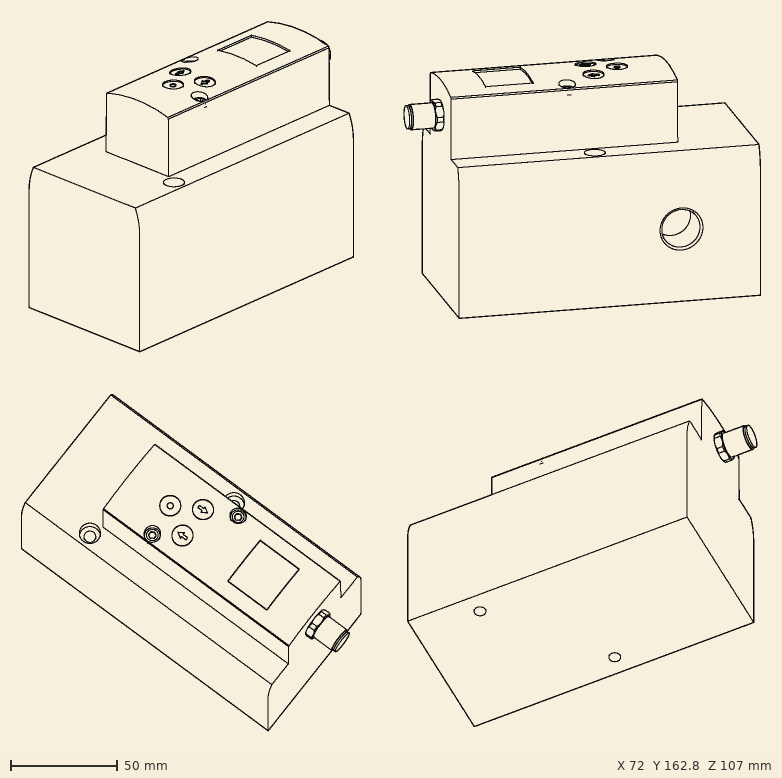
import cadquery as cq
import math

BODY_WIDTH = 72.0
BODY_LENGTH = 146.4
BODY_HEIGHT = 73.7
SHOULDER_DIAMETER = 64.0
SHOULDER_DROP = 13.2

HEAD_WIDTH = 40.7
HEAD_TOP_WIDTH = 40.2
HEAD_FRONT_Y = 36.3
HEAD_TOP_Z = 107.0
HEAD_EDGE_Z = 103.5
HEAD_BEVEL_WIDTH = 0.3
HEAD_BEVEL_HEIGHT = 0.8

WINDOW_WIDTH = 25.0
WINDOW_FRONT_Y = 104.5
WINDOW_LENGTH = 23.1
WINDOW_DEPTH = 1.0

BUTTON_DIAMETER = 10.0
BUTTON_DEPTH = 0.7
ARROW_BUTTON_X = 8.0
ARROW_BUTTON_Y = 74.0
ROUND_BUTTON_Y = 60.7
BUTTON_DOT_DIAMETER = 3.0
BUTTON_MARK_HEIGHT = 0.3
ARROW_WIDTH = 3.3
ARROW_LENGTH = 5.2
ARROW_STEM_WIDTH = 1.3

SCREWS = [(-15.8, 88.9), (15.8, 62.2)]
SCREW_HOLE_DIAMETER = 7.8
SCREW_HOLE_FLOOR_Z = 101
SCREW_HEAD_DIAMETER = 7.5
SCREW_HEAD_TOP_DIAMETER = 5.5
SCREW_HEAD_HEIGHT = 2.5
SCREW_SOCKET_FLATS = 6
SCREW_SOCKET_SIZE = 3.6
SCREW_SOCKET_DEPTH = 1.3

MOUNTING_HOLES = [(-26.5, 78.1), (26.5, 33.4)]
MOUNTING_DIAMETER = 5.5
COUNTERBORE_DIAMETER = 10.0
COUNTERBORE_DEPTH = 6.0

PORT_Y = 38.5
PORT_Z = 35.8
PORT_DIAMETER = 18.5
PORT_MOUTH_DIAMETER = 20.8
PORT_MOUTH_ANGLE = 45
PORT_DEPTH = 19.5

PLUG_Z = 89.5
NUT_FLATS = 6
NUT_ACROSS_FLATS = 14.0
NUT_CORNER_DIAMETER = 15.0
NUT_CHAMFER = 0.5
NUT_END_Y = 150.3
BARREL_DIAMETER = 12.0
BARREL_END_Y = 161.0
NECK_DIAMETER = 10.7
COLLAR_DIAMETER = 11.0
COLLAR_START_Y = 161.8
COLLAR_END_Y = 162.8


def rod_along_y(diameter, start_y, end_y):
    """Cylinder on the plug axis."""
    rod = cq.Workplane("XZ", origin=(0, start_y, PLUG_Z)).circle(diameter / 2)
    return rod.extrude(start_y - end_y)


def rod_along_z(diameter, centre, start_z, end_z):
    return (
        cq.Workplane("XY", origin=(*centre, start_z))
        .circle(diameter / 2)
        .extrude(end_z - start_z)
    )


def make_body():
    half_width = BODY_WIDTH / 2
    radius = SHOULDER_DIAMETER / 2
    arc_start_z = BODY_HEIGHT - SHOULDER_DROP
    arc_centre_x = half_width - radius
    sweep = math.asin(SHOULDER_DROP / radius)

    def shoulder_point(angle):
        return (
            arc_centre_x + radius * math.cos(angle),
            arc_start_z + radius * math.sin(angle),
        )

    top_x = shoulder_point(sweep)[0]
    mid_x, mid_z = shoulder_point(sweep / 2)
    return (
        cq.Workplane("XZ")
        .moveTo(-half_width, 0)
        .lineTo(half_width, 0)
        .lineTo(half_width, arc_start_z)
        .threePointArc((mid_x, mid_z), (top_x, BODY_HEIGHT))
        .lineTo(-top_x, BODY_HEIGHT)
        .threePointArc((-mid_x, mid_z), (-half_width, arc_start_z))
        .close()
        .extrude(-BODY_LENGTH)
    )


def make_head(lowered=0):
    """Crowned head with drafted sides and bevelled crown edges; `lowered` sinks the whole crown."""
    base = HEAD_WIDTH / 2
    side = HEAD_TOP_WIDTH / 2
    side_z = HEAD_EDGE_Z - lowered
    crown = side - HEAD_BEVEL_WIDTH
    crown_z = side_z + HEAD_BEVEL_HEIGHT
    return (
        cq.Workplane("XZ", origin=(0, HEAD_FRONT_Y, 0))
        .moveTo(-base, BODY_HEIGHT)
        .lineTo(base, BODY_HEIGHT)
        .lineTo(side, side_z)
        .lineTo(crown, crown_z)
        .threePointArc((0, HEAD_TOP_Z - lowered), (-crown, crown_z))
        .lineTo(-side, side_z)
        .close()
        .extrude(HEAD_FRONT_Y - BODY_LENGTH)
    )


def make_window():
    block = (
        cq.Workplane("XY")
        .box(WINDOW_WIDTH, WINDOW_LENGTH, HEAD_TOP_Z - BODY_HEIGHT, centered=(True, False, False))
        .translate((0, WINDOW_FRONT_Y, BODY_HEIGHT))
    )
    return block.cut(make_head(WINDOW_DEPTH))


def make_button_recess(centre):
    column = rod_along_z(BUTTON_DIAMETER, centre, BODY_HEIGHT, HEAD_TOP_Z)
    return column.cut(make_head(BUTTON_DEPTH))


def make_button_mark(column):
    """Raised mark: the part of a column standing on a button floor."""
    return column.intersect(make_head(BUTTON_DEPTH - BUTTON_MARK_HEIGHT))


def make_arrow(centre, direction):
    """Arrow column pointing along +Y (direction 1) or -Y (direction -1)."""
    tip = ARROW_LENGTH / 2
    neck = 0
    outline = [
        (0, tip),
        (ARROW_WIDTH / 2, neck),
        (ARROW_STEM_WIDTH / 2, neck),
        (ARROW_STEM_WIDTH / 2, -tip),
        (-ARROW_STEM_WIDTH / 2, -tip),
        (-ARROW_STEM_WIDTH / 2, neck),
        (-ARROW_WIDTH / 2, neck),
    ]
    return (
        cq.Workplane("XY", origin=(*centre, BODY_HEIGHT))
        .polyline([(x, direction * y) for x, y in outline])
        .close()
        .extrude(HEAD_TOP_Z - BODY_HEIGHT)
    )


def make_screw(centre):
    top_z = SCREW_HOLE_FLOOR_Z + SCREW_HEAD_HEIGHT
    bevel = (SCREW_HEAD_DIAMETER - SCREW_HEAD_TOP_DIAMETER) / 2
    head = rod_along_z(SCREW_HEAD_DIAMETER, centre, SCREW_HOLE_FLOOR_Z, top_z).faces(">Z").chamfer(bevel)
    socket = (
        cq.Workplane("XY", origin=(*centre, top_z))
        .polygon(SCREW_SOCKET_FLATS, SCREW_SOCKET_SIZE)
        .extrude(-SCREW_SOCKET_DEPTH)
    )
    return head.cut(socket)


def make_port():
    mouth_step = (PORT_MOUTH_DIAMETER - PORT_DIAMETER) / 2
    mouth_depth = mouth_step / math.tan(math.radians(PORT_MOUTH_ANGLE))
    face = cq.Workplane("YZ", origin=(-BODY_WIDTH / 2, PORT_Y, PORT_Z))
    bore = face.circle(PORT_DIAMETER / 2).extrude(PORT_DEPTH)
    mouth = face.circle(PORT_MOUTH_DIAMETER / 2).extrude(mouth_depth, taper=PORT_MOUTH_ANGLE)
    return bore.union(mouth)


def make_plug():
    """Hexagon nut with one flat facing up, then barrel, neck and end collar."""
    length = NUT_END_Y - BODY_LENGTH
    nut = (
        cq.Workplane("XZ", origin=(0, BODY_LENGTH, PLUG_Z))
        .transformed(rotate=(0, 0, 180 / NUT_FLATS))
        .polygon(NUT_FLATS, NUT_ACROSS_FLATS, circumscribed=True)
        .extrude(-length)
    )
    turned = rod_along_y(NUT_CORNER_DIAMETER, BODY_LENGTH, NUT_END_Y).faces("<Y or >Y").chamfer(NUT_CHAMFER)
    plug = nut.intersect(turned)
    plug = plug.union(rod_along_y(BARREL_DIAMETER, BODY_LENGTH, BARREL_END_Y))
    plug = plug.union(rod_along_y(NECK_DIAMETER, BODY_LENGTH, COLLAR_END_Y))
    return plug.union(rod_along_y(COLLAR_DIAMETER, COLLAR_START_Y, COLLAR_END_Y))


head = make_head().cut(make_window())

left_button = (-ARROW_BUTTON_X, ARROW_BUTTON_Y)
right_button = (ARROW_BUTTON_X, ARROW_BUTTON_Y)
round_button = (0, ROUND_BUTTON_Y)
for button in (left_button, right_button, round_button):
    head = head.cut(make_button_recess(button))
head = head.union(make_button_mark(make_arrow(left_button, 1)))
head = head.union(make_button_mark(make_arrow(right_button, -1)))
dot = rod_along_z(BUTTON_DOT_DIAMETER, round_button, BODY_HEIGHT, HEAD_TOP_Z)
head = head.union(make_button_mark(dot))

for screw in SCREWS:
    head = head.cut(rod_along_z(SCREW_HOLE_DIAMETER, screw, SCREW_HOLE_FLOOR_Z, HEAD_TOP_Z))
    head = head.union(make_screw(screw))

body = make_body().cut(make_port())
for hole in MOUNTING_HOLES:
    body = body.cut(rod_along_z(MOUNTING_DIAMETER, hole, 0, BODY_HEIGHT))
    body = body.cut(rod_along_z(COUNTERBORE_DIAMETER, hole, BODY_HEIGHT - COUNTERBORE_DEPTH, BODY_HEIGHT))

result = body.union(head).union(make_plug())